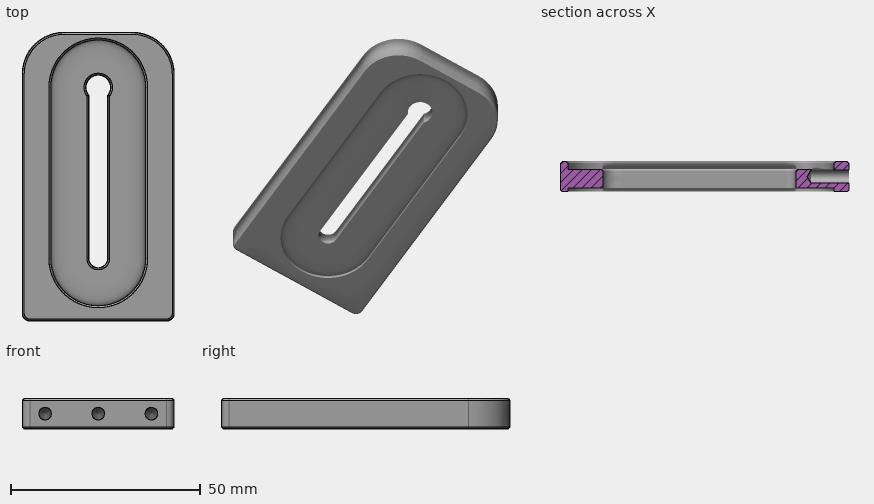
import cadquery as cq
import math

width = 40.0
length = 76.0
thickness = 8.0
rear_corner_radius = 11.0
front_corner_radius = 2.0
edge_chamfer = 0.5

top_z = thickness / 2
bottom_z = -top_z
front_y = -length / 2
rear_y = length / 2

front_centre_y = front_y + 16.5
rear_centre_y = rear_y - 14.5
centre_distance = rear_centre_y - front_centre_y
middle_y = (front_centre_y + rear_centre_y) / 2

recess_width = 25.0
recess_depth = 2.0
recess_floor_z = top_z - recess_depth

bottom_recess_depth = 1.0

slot_width = 5.0
keyhole_diameter = 6.5

drill_diameter = 3.3
drill_depth = 10.0
drill_point_angle = 118.0
drill_spacing = 14.0
drill_count = 3


def make_plate():
    """Plate with large rounded rear corners and small rounded front corners."""
    plate = cq.Workplane("XY").box(width, length, thickness)
    plate = plate.edges("|Z and >Y").fillet(rear_corner_radius)
    return plate.edges("|Z and <Y").fillet(front_corner_radius)


def make_obround(obround_width, base_z, height):
    """Vertical prism standing on base_z, rounded about the shared end centres."""
    return (
        cq.Workplane("XY", origin=(0, middle_y, base_z))
        .slot2D(centre_distance + obround_width, obround_width, angle=90)
        .extrude(height)
    )


def cut_keyhole(body):
    """Cut the slot and its round rear end, then chamfer their rim on the recess floor."""
    entry = (
        cq.Workplane("XY", origin=(0, rear_centre_y, bottom_z))
        .circle(keyhole_diameter / 2)
        .extrude(thickness)
    )
    body = body.cut(make_obround(slot_width, bottom_z, thickness).union(entry))
    floor = body.faces(cq.NearestToPointSelector((0, middle_y, recess_floor_z))).val()
    rim_edges = floor.innerWires()[0].Edges()
    return body.newObject(rim_edges).chamfer(edge_chamfer)


def make_drilled_hole(x):
    """Tool for one blind hole along +Y with a conical drill point."""
    radius = drill_diameter / 2
    point_length = radius / math.tan(math.radians(drill_point_angle / 2))
    shoulder_y = front_y + drill_depth
    return (
        cq.Workplane("XY")
        .moveTo(x, front_y)
        .lineTo(x + radius, front_y)
        .lineTo(x + radius, shoulder_y)
        .lineTo(x, shoulder_y + point_length)
        .close()
        .revolve(axisStart=(x, front_y), axisEnd=(x, rear_y))
    )


def cut_drilled_holes(body):
    """Drill the evenly spaced row of holes across the front end."""
    first_x = -drill_spacing * (drill_count - 1) / 2
    for index in range(drill_count):
        body = body.cut(make_drilled_hole(first_x + index * drill_spacing))
    return body


result = make_plate()
result = result.cut(make_obround(recess_width, recess_floor_z, recess_depth))

result = result.faces(">Z or <Z").chamfer(edge_chamfer)

result = result.cut(make_obround(recess_width, bottom_z, bottom_recess_depth))
result = cut_keyhole(result)
result = cut_drilled_holes(result)